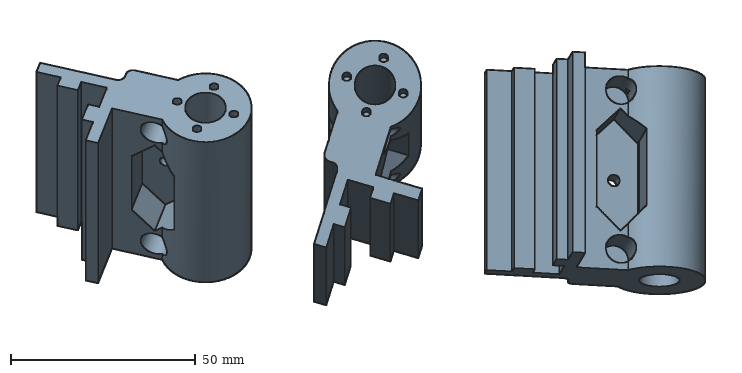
import cadquery as cq
import math

overall_length = 60.2
overall_depth = 33.25
height = 57.0

tube_radius = 12.5
bore_diameter = 11.0
pin_diameter = 2.4
pin_circle_radius = 8.0
pin_count = 4
pin_depth = 4.0

arm_half_width = 7.5
flange_thickness = 3.5
side_flange_back = 2.75
flange_end_x = tube_radius - overall_length
flange_end_y = tube_radius - overall_depth
front_flange_right = -24.2
front_flange_left = front_flange_right - flange_thickness
side_flange_front = side_flange_back - flange_thickness
step_radius = 2.0

rib_width = 5.8
rib_depth = 3.15
rib_end_gap = 6.9

clamp_x = -12.1
pocket_depth = 10.0
round_pocket_diameter = 8.0
round_pocket_z = 22.6
hex_half_width = 6.55
hex_tip_z = 17.4
hex_shoulder_z = hex_tip_z - hex_half_width
screw_diameter = 3.2
spotface_diameter = 16.0


def block(x_min, x_max, y_min, y_max):
    """Full-height rectangular bar between the given X and Y limits."""
    return cq.Workplane("XY").box(
        x_max - x_min, y_max - y_min, height, centered=(False, False, True)
    ).translate((x_min, y_min, 0))


def make_angle_and_arm():
    """Arm joined to the L-shaped flanges, with the rounded step behind them."""
    arm = block(front_flange_left, 0, side_flange_front, arm_half_width)
    arm = arm.cut(block(front_flange_left, front_flange_right, side_flange_back, arm_half_width))
    arm = arm.union(block(front_flange_right, 0, -arm_half_width, arm_half_width))
    side_flange = block(flange_end_x, front_flange_right, side_flange_front, side_flange_back)
    front_flange = block(front_flange_left, front_flange_right, flange_end_y, side_flange_back)
    body = arm.union(side_flange).union(front_flange).clean()
    for edge_y in (side_flange_back, arm_half_width):
        selector = cq.selectors.NearestToPointSelector((front_flange_right, edge_y, 0))
        body = body.edges("|Z").edges(selector).fillet(step_radius)
    return body


def make_ribs():
    """One rib on the inner face of each flange."""
    side_x = flange_end_x + rib_end_gap
    front_y = flange_end_y + rib_end_gap
    side_rib = block(side_x, side_x + rib_width, side_flange_front - rib_depth, side_flange_front)
    front_rib = block(front_flange_left - rib_depth, front_flange_left, front_y, front_y + rib_width)
    return side_rib.union(front_rib)


def from_front(y):
    """Sketch plane at the given Y: X to the right, Z up, extruding toward -Y."""
    return cq.Workplane("XZ", origin=(0, y, 0))


def make_clamp_cuts():
    """Blind pockets in the front face, screw hole and spotface behind the arm."""
    pocket_floor = pocket_depth - arm_half_width
    cut_length = pocket_floor + tube_radius
    hex_outline = [
        (clamp_x, hex_tip_z),
        (clamp_x + hex_half_width, hex_shoulder_z),
        (clamp_x + hex_half_width, -hex_shoulder_z),
        (clamp_x, -hex_tip_z),
        (clamp_x - hex_half_width, -hex_shoulder_z),
        (clamp_x - hex_half_width, hex_shoulder_z),
    ]
    cuts = from_front(pocket_floor).polyline(hex_outline).close().extrude(cut_length)
    round_centers = [(clamp_x, round_pocket_z), (clamp_x, -round_pocket_z)]
    round_pockets = (
        from_front(pocket_floor).pushPoints(round_centers)
        .circle(round_pocket_diameter / 2).extrude(cut_length)
    )
    screw_hole = (
        from_front(tube_radius).center(clamp_x, 0)
        .circle(screw_diameter / 2).extrude(2 * tube_radius)
    )
    spotface = (
        from_front(tube_radius).center(clamp_x, 0)
        .circle(spotface_diameter / 2).extrude(tube_radius - arm_half_width)
    )
    return cuts.union(round_pockets).union(screw_hole).union(spotface)


def make_tube_cuts():
    """Through bore and a ring of blind pin holes in the top face."""
    cuts = cq.Workplane("XY").circle(bore_diameter / 2).extrude(height / 2, both=True)
    for index in range(pin_count):
        angle = 2 * math.pi * index / pin_count
        pin_x = pin_circle_radius * math.cos(angle)
        pin_y = pin_circle_radius * math.sin(angle)
        pin_hole = (
            cq.Workplane("XY", origin=(pin_x, pin_y, height / 2))
            .circle(pin_diameter / 2).extrude(-pin_depth)
        )
        cuts = cuts.union(pin_hole)
    return cuts


tube = cq.Workplane("XY").circle(tube_radius).extrude(height / 2, both=True)
result = make_angle_and_arm().union(make_ribs()).union(tube)
result = result.cut(make_clamp_cuts()).cut(make_tube_cuts())